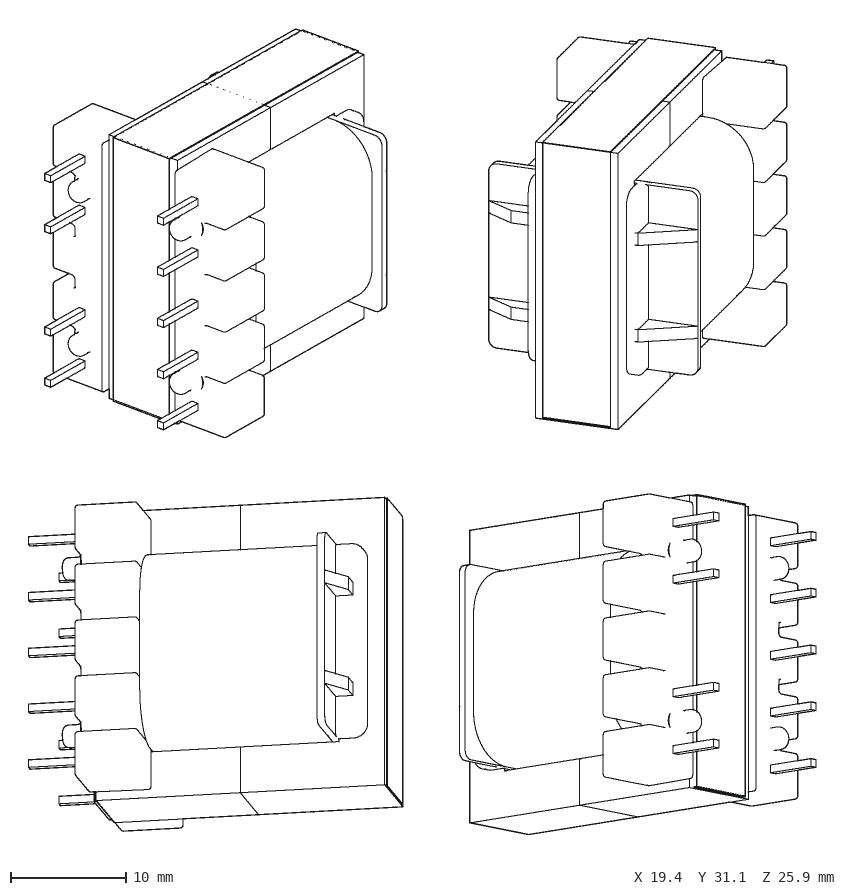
import cadquery as cq
import math


core_width = 7.65
core_half_length = 12.82
core_height = 25.82
window_half_length = 8.75
window_height = 17.6
leg_height = 7.53

tape_width = 6.28
tape_thickness = 0.1
tape_gap = 0.22

bobbin_half_width = 9.7
coil_height = 17.25
flange_thickness = 0.68
flange_corner = 0.78
tube_wall = 0.68

winding_corner = 4.25

lip_inner_x = 4.05
lip_thickness = 1.1
lip_length = 2.6
lip_corner = 1.28
lip_edge_round = 0.28
rib_z = 4.5
rib_thickness = 1.15
low_rib_top_x = 7.03
low_rib_height = 1.52

block_rear_y = -7.9
block_front_y = -13.47
block_height = 24.4
block_rear_inner_x = 3.9
block_front_inner_x = 4.1
block_edge_round = 0.28
slot_width = 1.28
slot_front_x = 7.45
slot_rear_x = 4.55
slot_corner = 0.28

pitch = 5.0
pin_size = 0.68
pin_x = 6.3
overall_length = 31.1
pin_end_y = core_half_length + tape_thickness - overall_length
peg_x = 5.65
peg_radius = 1.0
peg_length = 1.85
peg_round = 0.53

slot_heights = [pitch * step for step in (-1.5, -0.5, 0.5, 1.5)]
left_pin_heights = [pitch * step for step in (-2, -1, 1, 2)]
right_pin_heights = [pitch * step for step in (-2, -1, 0, 1, 2)]
peg_heights = [pitch * step for step in (-1.5, 1.5)]

tube_width = core_width + 2 * tube_wall
tube_height = leg_height + 2 * tube_wall
winding_rear_y = window_half_length - flange_thickness
lip_outer_x = lip_inner_x + lip_thickness
lip_middle_x = lip_inner_x + lip_thickness / 2
lip_top_y = window_half_length + lip_length

cut_margin = 0.3
tiny = 0.03


def span_box(x_size, y_start, y_end, z_size):
    """Box centred on the Y axis that reaches from y_start to y_end."""
    return cq.Workplane("XY").box(x_size, abs(y_end - y_start), z_size).translate(
        (0, (y_start + y_end) / 2, 0)
    )


def make_tape():
    """Closed band around the core, clear of the core's -Y end."""
    outer_rear = core_half_length + tape_thickness
    inner_front = -core_half_length - tape_gap
    outer = span_box(tape_width, inner_front - tape_thickness, outer_rear, core_height)
    opening = span_box(tape_width, inner_front, core_half_length, core_height - 2 * tape_thickness)
    return outer.cut(opening).translate((0, 0, tape_thickness))


def make_core_half(side, tape):
    """E-shaped half whose three legs meet the other half at y = 0."""
    blank = span_box(core_width, 0, side * core_half_length, core_height)
    window = span_box(core_width, 0, side * window_half_length, window_height)
    leg = span_box(core_width, 0, side * window_half_length, leg_height)
    return blank.cut(window).union(leg).cut(tape)


def make_winding():
    """Rounded square winding that surrounds the tube between the flanges."""
    outer = span_box(coil_height, block_rear_y, winding_rear_y, coil_height)
    tube_hole = span_box(tube_width, block_rear_y, winding_rear_y, tube_height)
    return outer.edges("|Y").fillet(winding_corner).cut(tube_hole)


def make_lip():
    """Upright plate on the +X half of the rear flange, rounded along the free edges of its outer face."""
    lip = cq.Workplane("XY").box(
        lip_thickness, lip_length, coil_height, centered=(False, False, True)
    ).translate((lip_inner_x, window_half_length, 0))
    lip = lip.edges("|X and >Y").fillet(lip_corner)
    outer_edges = lip.faces(">X").edges().vals()
    free_edges = [edge for edge in outer_edges if edge.Center().y > window_half_length + tiny]
    return lip.newObject(free_edges).fillet(lip_edge_round)


def make_ribs(outline):
    """Pair of ribs at +rib_z and -rib_z with the given XY outline."""
    rib = cq.Workplane("XY").polyline(outline).close().extrude(rib_thickness / 2, both=True)
    return rib.translate((0, 0, rib_z)).union(rib.translate((0, 0, -rib_z)))


def make_slot(z):
    """Wire slot through the +X block; its floor slopes deeper toward the rear."""
    mouth_x = bobbin_half_width + cut_margin
    front_y = block_front_y - cut_margin
    rear_y = block_rear_y + cut_margin
    margin_slope = cut_margin * (slot_front_x - slot_rear_x) / (block_rear_y - block_front_y)
    slot = (
        cq.Workplane("XY")
        .polyline([
            (mouth_x, front_y),
            (slot_front_x + margin_slope, front_y),
            (slot_rear_x - margin_slope, rear_y),
            (mouth_x, rear_y),
        ])
        .close()
        .extrude(slot_width / 2, both=True)
    )
    return slot.faces("<X").edges("not |Z").fillet(slot_corner).translate((0, 0, z))


def make_block():
    """Terminal block on the +X side; all edges rounded except around its drafted inner face."""
    block = (
        cq.Workplane("XY")
        .polyline([
            (block_rear_inner_x, block_rear_y),
            (bobbin_half_width, block_rear_y),
            (bobbin_half_width, block_front_y),
            (block_front_inner_x, block_front_y),
        ])
        .close()
        .extrude(block_height / 2, both=True)
    )
    for z in slot_heights:
        block = block.cut(make_slot(z))
    outer_edges = block.faces("<Y or >Y or >X or >Z or <Z").edges().vals()
    rounded = [edge for edge in outer_edges if edge.Center().x > block_front_inner_x + tiny]
    return block.newObject(rounded).fillet(block_edge_round)


def make_peg(z):
    """Standoff peg with a flared root, rooted one edge round deep in the block."""
    root_radius = peg_radius + peg_round
    tip_radius = peg_radius - peg_round
    arc_inset = peg_round * (1 - math.sqrt(0.5))
    peg = (
        cq.Workplane("XY")
        .moveTo(0, block_edge_round)
        .lineTo(root_radius, block_edge_round)
        .lineTo(root_radius, 0)
        .threePointArc((peg_radius + arc_inset, -arc_inset), (peg_radius, -peg_round))
        .lineTo(peg_radius, peg_round - peg_length)
        .threePointArc((peg_radius - arc_inset, arc_inset - peg_length), (tip_radius, -peg_length))
        .lineTo(0, -peg_length)
        .close()
        .revolve(360, (0, 0, 0), (0, 1, 0))
    )
    return peg.translate((peg_x, block_front_y, z))


def make_pin(x, z):
    """Square pin from the block's front face to the free end."""
    pin = span_box(pin_size, block_front_y, pin_end_y, pin_size)
    return pin.translate((x, 0, z))


def make_tall_ribs():
    """Ribs on the -X side that rise from the flange rim to the top of the lip."""
    return make_ribs([
        (-bobbin_half_width, window_half_length),
        (-lip_middle_x, window_half_length),
        (-lip_middle_x, lip_top_y),
        (-lip_outer_x, lip_top_y),
    ])


def make_low_ribs():
    """Ribs on the +X side that rise from the flange rim to a flat top below the top of the lip."""
    rib_top_y = window_half_length + low_rib_height
    return make_ribs([
        (bobbin_half_width, window_half_length),
        (lip_middle_x, window_half_length),
        (lip_middle_x, rib_top_y),
        (low_rib_top_x, rib_top_y),
    ])


def make_bobbin_side():
    """The features that both sides share, on the +X side: terminal block, pegs and lip."""
    side = make_block()
    for z in peg_heights:
        side = side.union(make_peg(z))
    return side.union(make_lip())


def make_bobbin():
    """Tube with two flanges, both terminal sides, the ribs and the nine pins, hollow for the core legs."""
    rear_flange = span_box(2 * bobbin_half_width, winding_rear_y, window_half_length, coil_height)
    rear_flange = rear_flange.edges("|Y").fillet(flange_corner)
    front_flange = span_box(2 * block_front_inner_x, -window_half_length, block_rear_y, coil_height)
    tube = span_box(tube_width, -window_half_length, window_half_length, tube_height)
    right_side = make_bobbin_side()
    bobbin = rear_flange.union(front_flange).union(tube)
    bobbin = bobbin.union(right_side).union(right_side.mirror("YZ"))
    bobbin = bobbin.union(make_tall_ribs()).union(make_low_ribs())
    for z in left_pin_heights:
        bobbin = bobbin.union(make_pin(-pin_x, z))
    for z in right_pin_heights:
        bobbin = bobbin.union(make_pin(pin_x, z))
    leg_hole = span_box(core_width, -window_half_length, window_half_length, leg_height)
    return bobbin.cut(leg_hole)


tape = make_tape()
core_rear = make_core_half(1, tape)
core_front = make_core_half(-1, tape)
winding = make_winding()
bobbin = make_bobbin()

result = cq.Compound.makeCompound([
    tape.val(), core_rear.val(), core_front.val(), winding.val(), bobbin.val()
])